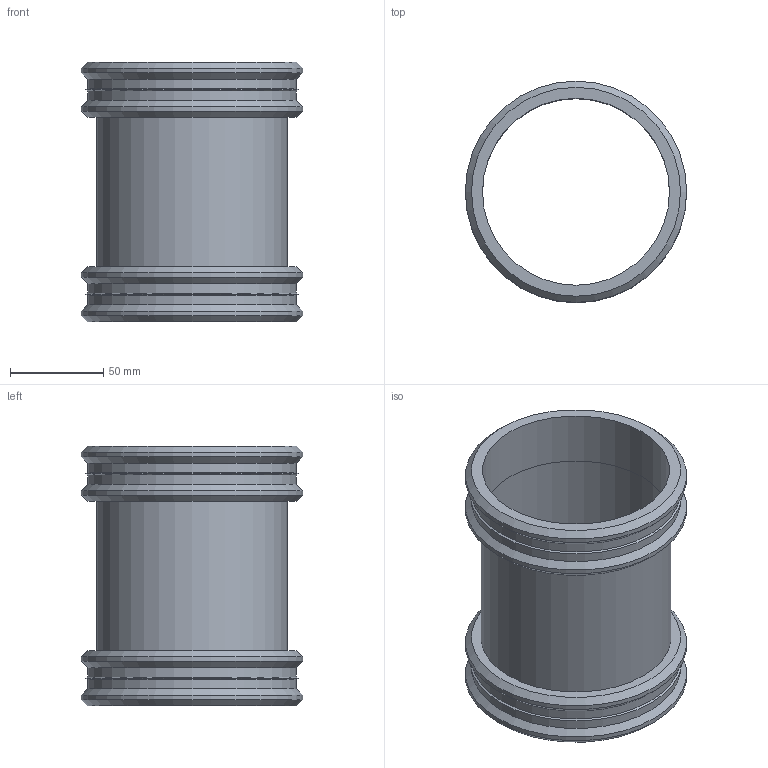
import cadquery as cq

overall_length = 138.8
bore_diameter = 100.0
tube_diameter = 101.8
groove_diameter = 111.8
lip_diameter = 118.4
ridge_diameter = 113.8

collar_length = 29.4
lip_flat = 2.4
ridge_base_width = 1.2

bore_radius = bore_diameter / 2
tube_radius = tube_diameter / 2
groove_radius = groove_diameter / 2
lip_radius = lip_diameter / 2
ridge_radius = ridge_diameter / 2
lip_bevel = lip_radius - groove_radius
lip_width = lip_flat + 2 * lip_bevel
half_length = overall_length / 2
tube_length = overall_length - 2 * collar_length


def make_collar(bottom_z):
    """Bored collar with two bevelled lips and a sharp ridge halfway along the groove between them."""
    middle_z = bottom_z + collar_length / 2
    top_z = bottom_z + collar_length
    profile = [
        (bore_radius, bottom_z),
        (groove_radius, bottom_z),
        (lip_radius, bottom_z + lip_bevel),
        (lip_radius, bottom_z + lip_bevel + lip_flat),
        (groove_radius, bottom_z + lip_width),
        (groove_radius, middle_z - ridge_base_width / 2),
        (ridge_radius, middle_z),
        (groove_radius, middle_z + ridge_base_width / 2),
        (groove_radius, top_z - lip_width),
        (lip_radius, top_z - lip_bevel - lip_flat),
        (lip_radius, top_z - lip_bevel),
        (groove_radius, top_z),
        (bore_radius, top_z),
    ]
    return cq.Workplane("XZ").polyline(profile).close().revolve(360, (0, 0), (0, 1))


def make_tube(bottom_z):
    """Thin-walled tube that spans the distance between the two collars."""
    return (
        cq.Workplane("XY", origin=(0, 0, bottom_z))
        .circle(tube_radius)
        .circle(bore_radius)
        .extrude(tube_length)
    )


def make_collared_tube():
    """Lower body: the tube with a collar formed in one piece at its bottom end."""
    return make_collar(-half_length).union(make_tube(collar_length - half_length))


collared_tube = make_collared_tube()
end_collar = make_collar(half_length - collar_length)

result = cq.Compound.makeCompound([collared_tube.val(), end_collar.val()])